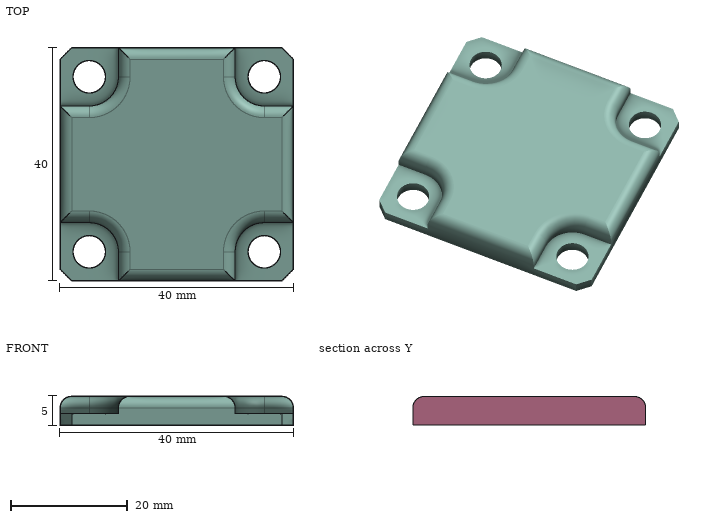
import cadquery as cq

side = 40.0
height = 5.0
flange_thickness = 2.0
corner_chamfer = 2.0
top_fillet = 2.0
hole_diameter = 5.5
hole_inset = 5.0
relief_radius = 5.0

hole_pitch = side - 2 * hole_inset
relief_size = hole_inset + relief_radius


def corner_relief(x_sign, y_sign):
    """Square corner cutter, rounded around the screw hole, above the flange."""
    relief_centre = (side - relief_size) / 2
    cutter = (
        cq.Workplane("XY", origin=(x_sign * relief_centre, y_sign * relief_centre, flange_thickness))
        .rect(relief_size, relief_size)
        .extrude(height - flange_thickness)
    )
    inner_x = "<X" if x_sign > 0 else ">X"
    inner_y = "<Y" if y_sign > 0 else ">Y"
    return cutter.edges("|Z").edges(inner_x).edges(inner_y).fillet(relief_radius)


cover = cq.Workplane("XY").box(side, side, height, centered=(True, True, False))
for x_sign in (-1, 1):
    for y_sign in (-1, 1):
        cover = cover.cut(corner_relief(x_sign, y_sign))
cover = cover.faces(">Z").edges().fillet(top_fillet)

flange_corners = cover.edges("|Z").edges(cq.selectors.BoxSelector(
    (-side, -side, 0), (side, side, flange_thickness)
))
flange = flange_corners.chamfer(corner_chamfer)

result = (
    flange.faces("<Z").workplane(origin=(0, 0, 0))
    .rect(hole_pitch, hole_pitch, forConstruction=True)
    .vertices()
    .hole(hole_diameter)
)